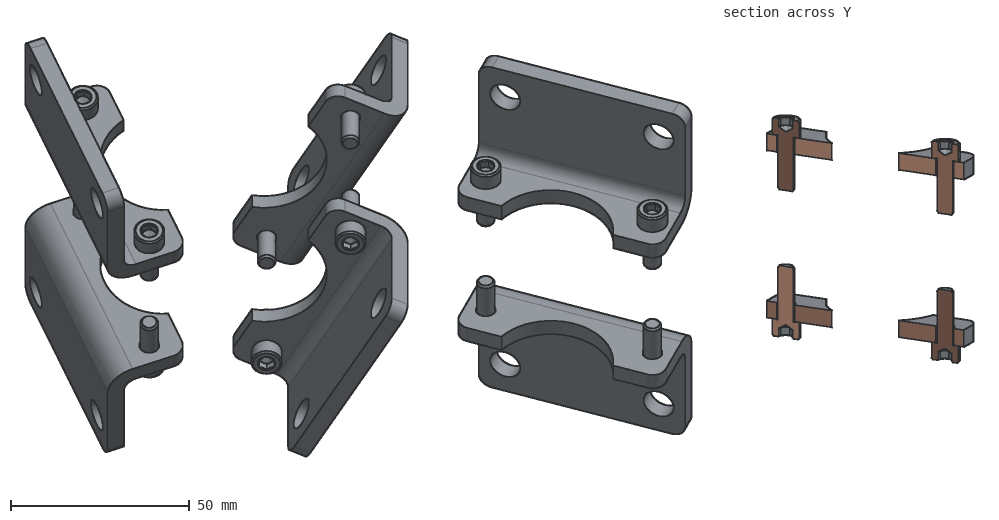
import cadquery as cq
import math

overall_height = 120.0
bracket_width = 62.0
bracket_depth = 24.0
bracket_height = 38.0
top_z = overall_height / 2
flange_bottom_z = top_z - bracket_height

thickness = 5.0
outer_bend_radius = 7.5
inner_bend_radius = 3.5
corner_radius = 4.0
flange_top_z = flange_bottom_z + thickness

mount_hole_diameter = 9.0
mount_hole_spacing = 46.1
mount_hole_from_top = 10.0

cutout_radius = 17.5
cutout_centre_past_edge = 5.0
cutout_y = bracket_depth + cutout_centre_past_edge

screw_spacing = 50.0
screw_from_edge = 9.0
screw_y = bracket_depth - screw_from_edge
clearance_diameter = 5.5
shank_diameter = 5.0
shank_length = 16.0
tip_chamfer_radial = 0.5
tip_chamfer_length = 0.7
head_diameter = 8.5
head_height = 5.0
head_chamfer = 0.5
socket_across_flats = 4.2
socket_mouth_diameter = 4.9
socket_depth = 2.5
socket_point_angle = 120.0
socket_turn = 30.0


def make_bracket():
    """Upper bracket: an upright leg with a flange bent towards +Y at its foot."""
    angle_section = (
        cq.Workplane("YZ")
        .moveTo(0, top_z)
        .lineTo(thickness, top_z)
        .lineTo(thickness, flange_top_z)
        .lineTo(bracket_depth, flange_top_z)
        .lineTo(bracket_depth, flange_bottom_z)
        .lineTo(0, flange_bottom_z)
        .close()
    )
    bracket = angle_section.extrude(bracket_width / 2, both=True)

    bracket = bracket.edges("|X and <Y and <Z").fillet(outer_bend_radius)
    inner_corner = cq.selectors.NearestToPointSelector((0, thickness, flange_top_z))
    bracket = bracket.edges("|X").edges(inner_corner).fillet(inner_bend_radius)

    bracket = bracket.faces(">Z").edges("|Y").fillet(corner_radius)
    bracket = bracket.faces(">Y").edges("|Z").fillet(corner_radius)

    mount_holes = (
        cq.Workplane("XZ")
        .pushPoints([(side * mount_hole_spacing / 2, top_z - mount_hole_from_top) for side in (-1, 1)])
        .circle(mount_hole_diameter / 2)
        .extrude(-thickness)
    )
    flange_plane = cq.Workplane("XY").workplane(offset=flange_bottom_z)
    cutout = flange_plane.center(0, cutout_y).circle(cutout_radius).extrude(thickness)
    clearance_holes = (
        flange_plane
        .pushPoints([(side * screw_spacing / 2, screw_y) for side in (-1, 1)])
        .circle(clearance_diameter / 2)
        .extrude(thickness)
    )
    return bracket.cut(mount_holes).cut(cutout).cut(clearance_holes)


def make_screw():
    """Socket head screw on the Z axis, with the underside of its head at Z = 0."""
    head_radius = head_diameter / 2
    shank_radius = shank_diameter / 2
    body = (
        cq.Workplane("XZ")
        .moveTo(0, head_height)
        .lineTo(head_radius - head_chamfer, head_height)
        .lineTo(head_radius, head_height - head_chamfer)
        .lineTo(head_radius, 0)
        .lineTo(shank_radius, 0)
        .lineTo(shank_radius, tip_chamfer_length - shank_length)
        .lineTo(shank_radius - tip_chamfer_radial, -shank_length)
        .lineTo(0, -shank_length)
        .close()
        .revolve(360, (0, 0), (0, 1))
    )

    socket_floor_z = head_height - socket_depth
    socket_corner_diameter = socket_across_flats / math.cos(math.pi / 6)
    hexagon = (
        cq.Workplane("XY", origin=(0, 0, socket_floor_z))
        .polygon(6, socket_corner_diameter)
        .extrude(socket_depth)
        .rotate((0, 0, 0), (0, 0, 1), socket_turn)
    )
    downwards = cq.Vector(0, 0, -1)

    inscribed_radius = socket_across_flats / 2
    point_depth = inscribed_radius / math.tan(math.radians(socket_point_angle / 2))
    drill_point = cq.Workplane(
        cq.Solid.makeCone(inscribed_radius, 0, point_depth, cq.Vector(0, 0, socket_floor_z), downwards)
    )
    mouth_radius = socket_mouth_diameter / 2
    mouth_depth = mouth_radius - inscribed_radius
    mouth_chamfer = cq.Workplane(
        cq.Solid.makeCone(mouth_radius, inscribed_radius, mouth_depth, cq.Vector(0, 0, head_height), downwards)
    )
    return body.cut(hexagon).cut(drill_point).cut(mouth_chamfer)


upper_bracket = make_bracket()
lower_bracket = upper_bracket.mirror("XY")

screw = make_screw()
screws = []
for side in (-1, 1):
    upper_screw = screw.translate((side * screw_spacing / 2, screw_y, flange_top_z))
    screws.append(upper_screw.val())
    screws.append(upper_screw.mirror("XY").val())

result = cq.Compound.makeCompound([upper_bracket.val(), lower_bracket.val(), *screws])